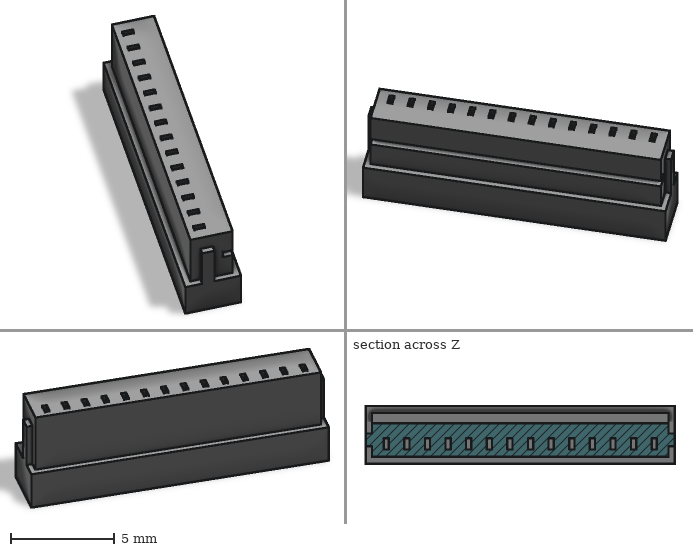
import cadquery as cq

length = 15.0
base_width = 2.8
base_height = 1.95
total_height = 5.0

end_step = 0.3
body_length = length - 2 * end_step
body_width = 2.13
body_height = total_height - base_height
body_back_y = body_width / 2

rib_width = 0.63
rib_center_y = -0.24
rib_drop = 0.81
rib_height = body_height - rib_drop

groove_depth = 0.5
groove_height = 0.36
groove_top_z = total_height - 1.4

slot_count = 14
slot_pitch = length / (slot_count + 1)
slot_length_x = 0.24
slot_width_y = 0.54
slot_center_y = -0.44
slot_depth = body_height


def block(size_x, size_y, size_z, center_y=0.0, bottom_z=0.0):
    """Box centred in X, placed by its middle in Y and its bottom in Z."""
    box = cq.Workplane("XY").box(size_x, size_y, size_z, centered=(True, True, False))
    return box.translate((0, center_y, bottom_z))


base = block(length, base_width, base_height)
body = block(body_length, body_width, body_height, bottom_z=base_height)

ribs = block(length, rib_width, rib_height, rib_center_y, base_height)

groove = block(
    body_length,
    groove_depth,
    groove_height,
    body_back_y - groove_depth / 2,
    groove_top_z - groove_height,
)

slots = (
    cq.Workplane("XY", origin=(0, slot_center_y, total_height))
    .rarray(slot_pitch, 0.15, slot_count, 1)
    .rect(slot_length_x, slot_width_y)
    .extrude(-slot_depth)
)

result = base.union(body).union(ribs).cut(groove).cut(slots)